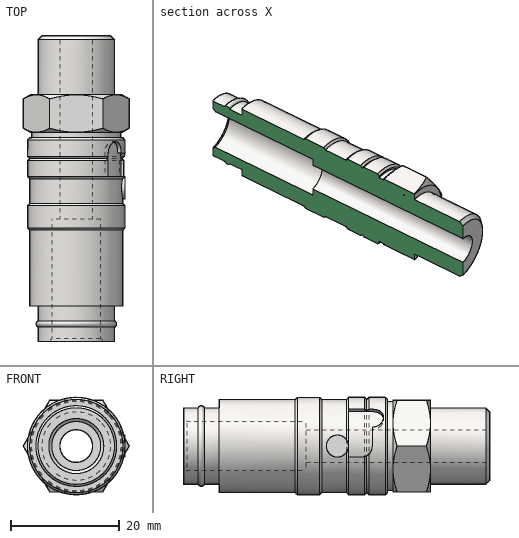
import cadquery as cq
import math

total_length = 56.5

spigot_radius = 7.05
spigot_tip_radius = 6.3
neck_radius = 8.25
ring_diameter = 18.0
ring_radius = ring_diameter / 2
ring_chamfer = 0.4
sleeve_radius = ring_radius - ring_chamfer
o_ring_radius = 7.45

spigot_chamfer = 0.75
hex_start = 10.9
hex_end = 17.9
ring_1_start = 18.85
groove_station = 22.7
ring_2_end = 26.45
ring_3_start = 31.0
ring_3_end = 35.95
sleeve_end = 49.95
o_ring_start = 52.65
o_ring_end = 53.85

hex_across_corners = 19.6
hex_face_radius = 8.4
hex_chamfer_angle = math.radians(30)

passage_radius = 3.0
socket_radius = 4.5
socket_depth = 22.6
socket_chamfer = 0.55

pin_radius = 2.05
pin_station = 28.15
slot_end_station = 21.7
lock_end_station = 19.6
lock_angle = 36.0


def axial(station):
    """Y coordinate of a station along the axis."""
    return total_length - station


def revolve_profile(points):
    """Solid of revolution about Y from (radius, station) corners."""
    corners = [(radius, axial(station)) for radius, station in points]
    return cq.Workplane("XY").polyline(corners).close().revolve(360, (0, 0, 0), (0, 1, 0))


def cylinder(radius, start, end):
    """Cylinder about Y between two stations."""
    return revolve_profile([(0, start), (radius, start), (radius, end), (0, end)])


def chamfered_ring(start, end):
    """Raised ring whose edges are bevelled down to the sleeve radius."""
    return revolve_profile([
        (0, start),
        (sleeve_radius, start),
        (ring_radius, start + ring_chamfer),
        (ring_radius, end - ring_chamfer),
        (sleeve_radius, end),
        (0, end),
    ])


def turned_body():
    spigot = revolve_profile([
        (0, 0),
        (spigot_tip_radius, 0),
        (spigot_radius, spigot_chamfer),
        (spigot_radius, total_length),
        (0, total_length),
    ])
    body = spigot.union(cylinder(neck_radius, hex_start, ring_1_start))
    body = body.union(cylinder(sleeve_radius, ring_1_start, sleeve_end))
    ring_spans = [
        (ring_1_start, groove_station),
        (groove_station, ring_2_end),
        (ring_3_start, ring_3_end),
    ]
    for start, end in ring_spans:
        body = body.union(chamfered_ring(start, end))
    return body


def hexagon():
    """Hexagon with corners on X, both ends bevelled by a cone down to a round face."""
    length = hex_end - hex_start
    prism = (
        cq.Workplane("XZ", origin=(0, axial(hex_start), 0))
        .polygon(6, hex_across_corners)
        .extrude(length)
    )
    corner_radius = hex_across_corners / 2
    bevel = (corner_radius - hex_face_radius) * math.tan(hex_chamfer_angle)
    envelope = revolve_profile([
        (0, hex_start),
        (hex_face_radius, hex_start),
        (corner_radius, hex_start + bevel),
        (corner_radius, hex_end - bevel),
        (hex_face_radius, hex_end),
        (0, hex_end),
    ])
    return prism.intersect(envelope)


def o_ring():
    """Rounded bead around the socket end."""
    middle = (o_ring_start + o_ring_end) / 2
    return (
        cq.Workplane("XY")
        .moveTo(0, axial(o_ring_start))
        .lineTo(spigot_radius, axial(o_ring_start))
        .threePointArc((o_ring_radius, axial(middle)), (spigot_radius, axial(o_ring_end)))
        .lineTo(0, axial(o_ring_end))
        .close()
        .revolve(360, (0, 0, 0), (0, 1, 0))
    )


def stepped_bore():
    socket_start = total_length - socket_depth
    return revolve_profile([
        (0, 0),
        (passage_radius, 0),
        (passage_radius, socket_start),
        (socket_radius, socket_start),
        (socket_radius, total_length - socket_chamfer),
        (socket_radius + socket_chamfer, total_length),
        (0, total_length),
    ])


def round_ended_slot(end_station, open_station):
    """Radial slot along +X, rounded towards the thread and square at the other end."""
    centre_station = end_station + pin_radius
    reach = 2 * ring_radius
    rounded_end = (
        cq.Workplane("YZ").center(axial(centre_station), 0).circle(pin_radius).extrude(reach)
    )
    straight = (
        cq.Workplane("YZ")
        .center(axial((centre_station + open_station) / 2), 0)
        .rect(open_station - centre_station, 2 * pin_radius)
        .extrude(reach)
    )
    return rounded_end.union(straight)


def turned_about_axis(solid, angle):
    """Turn a solid about Y, from +X towards +Z for a positive angle."""
    return solid.rotate((0, 0, 0), (0, 1, 0), -angle)


def bayonet_slot():
    """Recess down to the neck radius: an entry slot, a locking slot and the track between."""
    open_station = ring_2_end - ring_chamfer
    entry = round_ended_slot(slot_end_station, open_station)
    lock = turned_about_axis(round_ended_slot(lock_end_station, open_station), lock_angle)
    track = (
        cq.Workplane("XY")
        .moveTo(0, axial(slot_end_station))
        .lineTo(2 * ring_radius, axial(slot_end_station))
        .lineTo(2 * ring_radius, axial(open_station))
        .lineTo(0, axial(open_station))
        .close()
        .revolve(lock_angle, (0, 0, 0), (0, -1, 0))
    )
    core = cylinder(neck_radius, 0, total_length)
    return entry.union(lock).union(track).cut(core)


def bayonet_pin():
    return cq.Workplane("YZ").center(axial(pin_station), 0).circle(pin_radius).extrude(ring_radius)


result = (
    turned_body()
    .union(hexagon())
    .union(o_ring())
    .cut(bayonet_slot())
    .union(bayonet_pin())
    .cut(stepped_bore())
    .translate((0, -total_length / 2, 0))
)